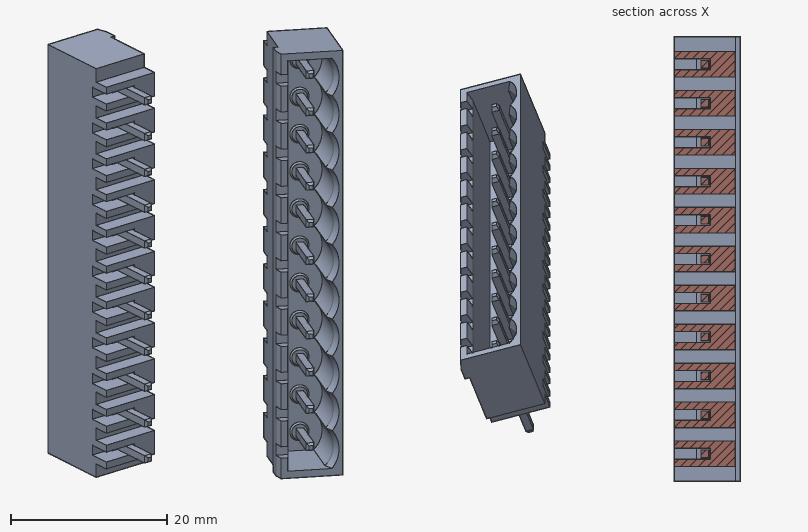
import cadquery as cq

pole_count = 11
length = 57.0
end_margin = 3.55
pitch = (length - 2 * end_margin) / (pole_count - 1)
pin_y = 3.95
pole_heights = [end_margin + i * pitch for i in range(pole_count)]

body_depth = 10.05
body_width = 7.85
leg_end_x = 12.15
leg_height = 3.3

rail_top_y = 8.5
rail_mouth_y = 8.1
rail_end_x = 3.1

cavity_depth = 8.5
lead_in_depth = 1.4
end_wall = 0.95
cavity_top_y = 6.9
mouth_top_y = 7.25
scallop_y = 4.5
scallop_radius = 3.55
mouth_scallop_radius = 4.0
coding_notch_height = 1.55

collar_base_radius = 1.25
collar_top_radius = 1.0
collar_height = 0.2

pin_size = 1.0
pin_start_x = 1.2
pin_end_x = 16.2
contact_tip_length = 0.55
solder_tip_length = 0.45
tip_size = 0.55

slot_height = 1.35
slot_start_x = 9.25
slot_step_x = 9.75
slot_step_depth = 2.85
slot_depth = pin_y + slot_height / 2


def block(x_range, y_range, z_range):
    """Box spanning the given ranges."""
    spans = [high - low for low, high in (x_range, y_range, z_range)]
    return cq.Workplane("XY").box(*spans, centered=False).translate((x_range[0], y_range[0], z_range[0]))


def around(center, size):
    """Range of the given size about a center value."""
    return (center - size / 2, center + size / 2)


def cone(x, y, z, start_radius, end_radius, depth):
    """Truncated cone running along +X."""
    solid = cq.Solid.makeCone(start_radius, end_radius, depth, cq.Vector(x, y, z), cq.Vector(1, 0, 0))
    return cq.Workplane(obj=solid)


def square_taper(x, z, start_size, end_size, taper_length):
    """Square frustum running along +X on a pin axis."""
    return (
        cq.Workplane("YZ", origin=(x, pin_y, z))
        .rect(start_size, start_size)
        .workplane(offset=taper_length)
        .rect(end_size, end_size)
        .loft(ruled=True)
    )


def make_housing():
    profile = [
        (0, 0),
        (body_depth, 0),
        (body_depth, body_width),
        (rail_end_x, body_width),
        (rail_end_x, rail_top_y),
        (lead_in_depth, rail_top_y),
        (0, rail_mouth_y),
    ]
    housing = cq.Workplane("XY").polyline(profile).close().extrude(length)
    for z in pole_heights:
        housing = housing.union(block((body_depth, leg_end_x), (0, body_width), around(z, leg_height)))
    return housing


def make_cavity():
    profile = [
        (0, scallop_y),
        (cavity_depth, scallop_y),
        (cavity_depth, cavity_top_y),
        (lead_in_depth, cavity_top_y),
        (0, mouth_top_y),
    ]
    inner_length = length - 2 * end_wall
    cavity = cq.Workplane("XY").workplane(offset=end_wall).polyline(profile).close().extrude(inner_length)

    scallop_zone = block((0, cavity_depth), (0, scallop_y), (end_wall, length - end_wall))
    straight_depth = cavity_depth - lead_in_depth
    for z in pole_heights:
        scallop = cone(0, scallop_y, z, mouth_scallop_radius, scallop_radius, lead_in_depth)
        bore = cq.Workplane("YZ", origin=(lead_in_depth, scallop_y, z)).circle(scallop_radius)
        scallop = scallop.union(bore.extrude(straight_depth))
        cavity = cavity.union(scallop.intersect(scallop_zone))
    return cavity


def make_coding_notch(z):
    return block((0, lead_in_depth), (cavity_top_y, rail_top_y), around(z, coding_notch_height))


def make_leg_slot(z):
    z_range = around(z, slot_height)
    shallow = block((slot_start_x, leg_end_x), (0, slot_step_depth), z_range)
    deep = block((slot_step_x, leg_end_x), (0, slot_depth), z_range)
    return shallow.union(deep)


def make_pin(z):
    shank_start_x = pin_start_x + contact_tip_length
    shank_end_x = pin_end_x - solder_tip_length
    pin = block((shank_start_x, shank_end_x), around(pin_y, pin_size), around(z, pin_size))
    pin = pin.union(square_taper(pin_start_x, z, tip_size, pin_size, contact_tip_length))
    return pin.union(square_taper(shank_end_x, z, pin_size, tip_size, solder_tip_length))


def make_collar(z):
    start_x = cavity_depth - collar_height
    return cone(start_x, pin_y, z, collar_top_radius, collar_base_radius, collar_height)


result = make_housing().cut(make_cavity())
for pole_z in pole_heights:
    result = result.cut(make_coding_notch(pole_z)).cut(make_leg_slot(pole_z))
    result = result.union(make_collar(pole_z)).union(make_pin(pole_z))